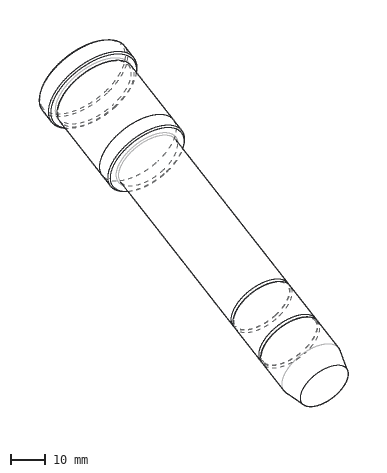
import cadquery as cq
import math

total_length = 131.0

flange_diameter = 30.0
flange_length = 6.0
flange_chamfer = 0.5

body_diameter = 26.0
body_end = 35.0
lead_in_length = 5.0
lead_in_clearance = 0.01
body_chamfer = 0.5

relief_radius = 0.5
relief_position = flange_length + relief_radius

shank_diameter = 20.0
tip_length = 7.0
tip_angle = 15.0
root_fillet = 0.5

groove_radius = 0.5
first_groove_position = 97.0
groove_pitch = 15.0
groove_count = 2

axis_x = cq.Vector(1, 0, 0)


def cylinder(diameter, start, end):
    """Solid cylinder along X between two positions."""
    return cq.Workplane(cq.Solid.makeCylinder(diameter / 2, end - start, cq.Vector(start, 0, 0), axis_x))


def cone(start_diameter, end_diameter, start, end):
    """Solid truncated cone along X between two positions."""
    origin = cq.Vector(start, 0, 0)
    return cq.Workplane(cq.Solid.makeCone(start_diameter / 2, end_diameter / 2, end - start, origin, axis_x))


def torus(ring_diameter, section_radius, position):
    """Torus around X that cuts a half-round groove into a surface of the ring diameter."""
    return cq.Workplane(cq.Solid.makeTorus(ring_diameter / 2, section_radius, cq.Vector(position, 0, 0), axis_x))


def make_flange():
    return cylinder(flange_diameter, 0, flange_length).edges("%CIRCLE").chamfer(flange_chamfer)


def make_body():
    lead_in_start = body_end - lead_in_length
    lead_in_diameter = body_diameter - 2 * lead_in_clearance
    fit = cylinder(body_diameter, flange_length, lead_in_start)
    fit = fit.cut(torus(body_diameter, relief_radius, relief_position))
    lead_in = cylinder(lead_in_diameter, lead_in_start, body_end).faces(">X").edges().chamfer(body_chamfer)
    return fit.union(lead_in)


def make_shank():
    tip_start = total_length - tip_length
    shank = cylinder(shank_diameter, body_end, tip_start)
    tip_diameter = shank_diameter - 2 * tip_length * math.tan(math.radians(tip_angle))
    tip = cone(shank_diameter, tip_diameter, tip_start, total_length)
    shank = shank.union(tip)
    for index in range(groove_count):
        position = first_groove_position + index * groove_pitch
        shank = shank.cut(torus(shank_diameter, groove_radius, position))
    return shank


def round_root(pin):
    """Fillet the corner where the shank leaves the body."""
    tolerance = 0.01
    corner = cq.selectors.BoxSelector(
        (body_end - tolerance, -shank_diameter, -shank_diameter),
        (body_end + tolerance, shank_diameter, shank_diameter),
    )
    root_edge = pin.edges(corner).edges(cq.selectors.RadiusNthSelector(0))
    return root_edge.fillet(root_fillet)


result = round_root(make_flange().union(make_body()).union(make_shank()))